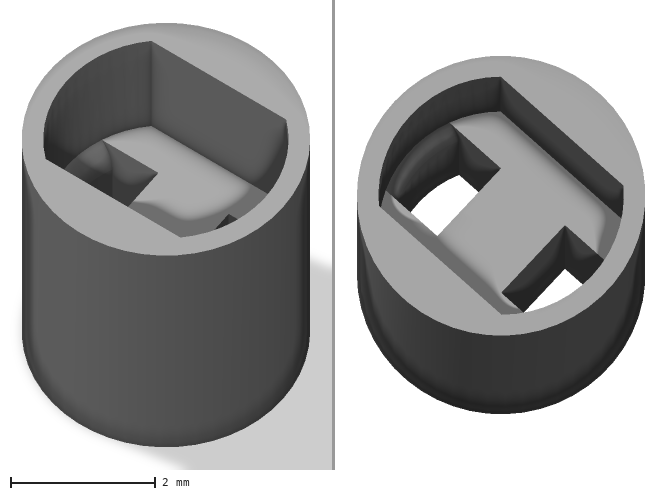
import cadquery as cq
import math

body_height = 4.5
body_diameter = 4.0

pocket_diameter = 3.4
pocket_flat_width = 2.5
pocket_depth = 2.0
floor_height = body_height - pocket_depth

bridge_width = 1.2
opening_width = 1.31
throat_diameter = 3.07
lip_radius = 1.0

trim_height = 2 * body_height


def make_pocket():
    """Round bore trimmed by the two flats."""
    bore = (
        cq.Workplane("XY", origin=(0, 0, floor_height))
        .circle(pocket_diameter / 2)
        .extrude(pocket_depth)
    )
    flats = cq.Workplane("XY").box(body_diameter, pocket_flat_width, trim_height)
    return bore.intersect(flats)


def make_floor_openings():
    """Flared round throat, trimmed to a band and split by the bridge."""
    pocket_radius = pocket_diameter / 2
    throat_radius = throat_diameter / 2
    lip_angle = math.acos(1 - (pocket_radius - throat_radius) / lip_radius)
    lip_start_height = floor_height - lip_radius * math.sin(lip_angle)
    lip_middle = (
        throat_radius + lip_radius * (1 - math.cos(lip_angle / 2)),
        lip_start_height + lip_radius * math.sin(lip_angle / 2),
    )
    throat = (
        cq.Workplane("XZ")
        .lineTo(throat_radius, 0)
        .lineTo(throat_radius, lip_start_height)
        .threePointArc(lip_middle, (pocket_radius, floor_height))
        .lineTo(0, floor_height)
        .close()
        .revolve(360, (0, 0, 0), (0, 1, 0))
    )
    band = cq.Workplane("XY").box(body_diameter, opening_width, trim_height)
    bridge = cq.Workplane("XY").box(bridge_width, body_diameter, trim_height)
    return throat.intersect(band).cut(bridge)


body = cq.Workplane("XY").circle(body_diameter / 2).extrude(body_height)
result = body.cut(make_pocket()).cut(make_floor_openings())